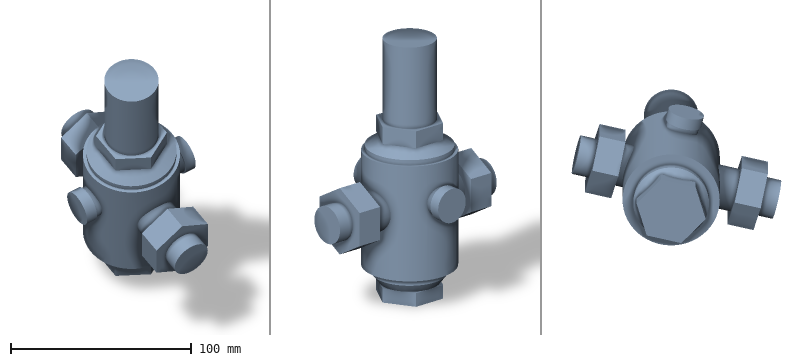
import cadquery as cq

total_height = 152
bottom_hex_top = 8.0
bottom_cone_top = 13.0
body_bottom = 18.0
body_top = 86.0
collar_top = 89.0
top_cone_top = 94.0
top_hex_top = 104.0

body_offset_x = -3
body_radius = 26.9
bottom_collar_radius = 21.0
top_collar_radius = 25.0
stem_radius = 15.0
hex_across_flats = 34.0
hex_across_corners = hex_across_flats / 0.75 ** 0.5
cone_end_radius = hex_across_flats / 2

pipe_height = 56.0
pipe_radius = 12.0
pipe_end_radius = 11.0
nut_inner_x = 33.1
nut_outer_x = 47.9
pipe_end_x = 57.0

plug_height = 63.0
plug_neck_radius = 9.0
plug_head_radius = 10.0
plug_head_inner_y = 29.5
plug_end_y = 36.0


def make_turned_body():
    """Revolve the stepped and tapered body with its stem."""
    return (
        cq.Workplane("XZ")
        .moveTo(0, 0)
        .lineTo(cone_end_radius, 0)
        .lineTo(cone_end_radius, bottom_hex_top)
        .lineTo(bottom_collar_radius, bottom_cone_top)
        .lineTo(bottom_collar_radius, body_bottom)
        .lineTo(body_radius, body_bottom)
        .lineTo(body_radius, body_top)
        .lineTo(top_collar_radius, body_top)
        .lineTo(top_collar_radius, collar_top)
        .lineTo(cone_end_radius, top_cone_top)
        .lineTo(stem_radius, top_cone_top)
        .lineTo(stem_radius, total_height)
        .lineTo(0, total_height)
        .close()
        .revolve(360, (0, 0, 0), (0, 1, 0))
    )


def make_body_hex(bottom, top):
    """Hexagon around the vertical axis with corners on X."""
    return cq.Workplane("XY").workplane(offset=bottom).polygon(6, hex_across_corners).extrude(top - bottom)


def make_pipe_connection():
    """Pipe, union nut and pipe end pointing to +X."""
    axis_plane = cq.Workplane("YZ").center(0, pipe_height)
    pipe = axis_plane.circle(pipe_radius).extrude(nut_outer_x)
    pipe_end = axis_plane.circle(pipe_end_radius).extrude(pipe_end_x)
    nut = (
        axis_plane.workplane(offset=nut_inner_x)
        .transformed(rotate=(0, 0, 90))
        .polygon(6, hex_across_corners)
        .extrude(nut_outer_x - nut_inner_x)
    )
    return pipe.union(pipe_end).union(nut)


def make_plug():
    """Neck and wider round head pointing to -Y."""
    axis_plane = cq.Workplane("XZ").center(0, plug_height)
    neck = axis_plane.circle(plug_neck_radius).extrude(plug_head_inner_y)
    head = (
        axis_plane.workplane(offset=plug_head_inner_y)
        .circle(plug_head_radius)
        .extrude(plug_end_y - plug_head_inner_y)
    )
    return neck.union(head)


body = make_turned_body()
body = body.union(make_body_hex(0, bottom_hex_top))
body = body.union(make_body_hex(top_cone_top, top_hex_top))
for plug_angle in (0, 180):
    body = body.union(make_plug().rotate((0, 0, 0), (0, 0, 1), plug_angle))

result = body.translate((body_offset_x, 0, 0))
for pipe_angle in (0, 180):
    result = result.union(make_pipe_connection().rotate((0, 0, 0), (0, 0, 1), pipe_angle))